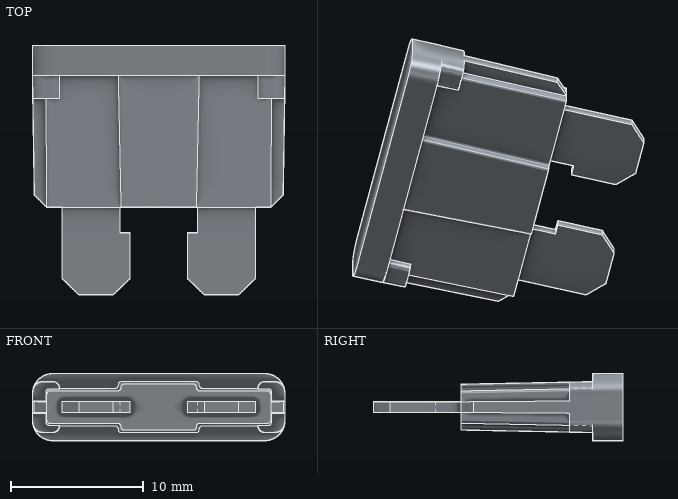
import cadquery as cq
import math

width = 19.05
cap_height = 5.09
cap_corner_radius = 1.56
cap_depth = 2.29
ear_depth = 4.02
body_depth = 12.21
blade_depth = 18.8

body_half_width = 8.52
body_half_height = 1.41
raised_half_width = 3.05
raised_half_height = 1.92
width_shrink = 0.08
raised_width_shrink = 0.21
height_shrink = 0.2
body_corner_radius = 0.25

ear_inner_x = 7.47
ear_half_height = 1.92
ear_inner_radius = 0.5
ear_outer_radius = 0.75
side_draft = 0.9

rail_root_x = 8.2
rail_bevel_depth = 11.28
rail_half_thickness = 0.48
rail_tip_half_thickness = 0.4

blade_thickness = 0.82
blade_outer_x = 7.3
blade_inner_x = 2.15
blade_neck_x = 2.91
notch_depth = 14.12
tip_chamfer_width = 1.28
tip_chamfer_length = 1.24


def plane_at(depth):
    """XZ work plane at a depth; its normal points toward the blade tips."""
    return cq.Workplane("XZ", origin=(0, -depth, 0))


def mirrored_pair(half):
    return half.union(half.mirror("YZ"))


def make_cap():
    block = plane_at(0).rect(width, cap_height).extrude(cap_depth)
    return block.edges("|Y").fillet(cap_corner_radius)


def body_outline(depth, half_width, half_height, raised_width, raised_height):
    """Rounded outline with a thicker middle band on both broad faces."""
    upper = [
        (half_width, half_height),
        (raised_width, half_height),
        (raised_width, raised_height),
        (-raised_width, raised_height),
        (-raised_width, half_height),
        (-half_width, half_height),
    ]
    lower = [(-x, -z) for x, z in upper]
    points = [cq.Vector(x, -depth, z) for x, z in upper + lower]
    outline = cq.Wire.makePolygon(points, close=True)
    return outline.fillet2D(body_corner_radius, outline.Vertices())


def make_body():
    root = body_outline(
        cap_depth, body_half_width, body_half_height, raised_half_width, raised_half_height
    )
    tip = body_outline(
        body_depth,
        body_half_width - width_shrink,
        body_half_height - height_shrink,
        raised_half_width - raised_width_shrink,
        raised_half_height - height_shrink,
    )
    return cq.Workplane(cq.Solid.makeLoft([root, tip], True))


def make_ear():
    """Drafted block that follows the cap corners, then rounds onto its flat faces."""
    block = plane_at(cap_depth).rect(width, cap_height).extrude(ear_depth - cap_depth)
    block = block.edges("|Y").fillet(cap_corner_radius)
    length = width / 2 - ear_inner_x
    center_x = width / 2 - length / 2
    limits = plane_at(cap_depth).center(center_x, 0).rect(length, 2 * ear_half_height)
    block = block.intersect(limits.extrude(ear_depth - cap_depth))
    block = block.edges("|Y and <X").fillet(ear_inner_radius)
    corner_rise = ear_half_height - (cap_height / 2 - cap_corner_radius)
    cut_x = width / 2 - cap_corner_radius + math.sqrt(cap_corner_radius**2 - corner_rise**2)
    mid_y = -(cap_depth + ear_depth) / 2
    for z in (ear_half_height, -ear_half_height):
        edge = cq.selectors.NearestToPointSelector((cut_x, mid_y, z))
        block = block.edges("|Y").edges(edge).fillet(ear_outer_radius)
    outline = block.faces(">Y").wires().val()
    return plane_at(cap_depth).add(outline).toPending().extrude(ear_depth - cap_depth, taper=side_draft)


def drafted_half_width(depth):
    return width / 2 - (depth - cap_depth) * math.tan(math.radians(side_draft))


def make_rail():
    outline = [
        (rail_root_x, -ear_depth),
        (drafted_half_width(ear_depth), -ear_depth),
        (drafted_half_width(rail_bevel_depth), -rail_bevel_depth),
        (body_half_width - width_shrink, -body_depth),
        (rail_root_x, -body_depth),
    ]
    plate = cq.Workplane("XY").polyline(outline).close().extrude(rail_half_thickness, both=True)
    taper = [
        (-cap_depth, rail_half_thickness),
        (-body_depth, rail_tip_half_thickness),
        (-body_depth, -rail_tip_half_thickness),
        (-cap_depth, -rail_half_thickness),
    ]
    return plate.intersect(cq.Workplane("YZ").polyline(taper).close().extrude(width))


def make_blade():
    outline = [
        (blade_neck_x, -body_depth),
        (blade_neck_x, -notch_depth),
        (blade_inner_x, -notch_depth),
        (blade_inner_x, tip_chamfer_length - blade_depth),
        (blade_inner_x + tip_chamfer_width, -blade_depth),
        (blade_outer_x - tip_chamfer_width, -blade_depth),
        (blade_outer_x, tip_chamfer_length - blade_depth),
        (blade_outer_x, -body_depth),
    ]
    return cq.Workplane("XY").polyline(outline).close().extrude(blade_thickness / 2, both=True)


result = make_cap().union(make_body())
for half in (make_ear(), make_rail(), make_blade()):
    result = result.union(mirrored_pair(half))